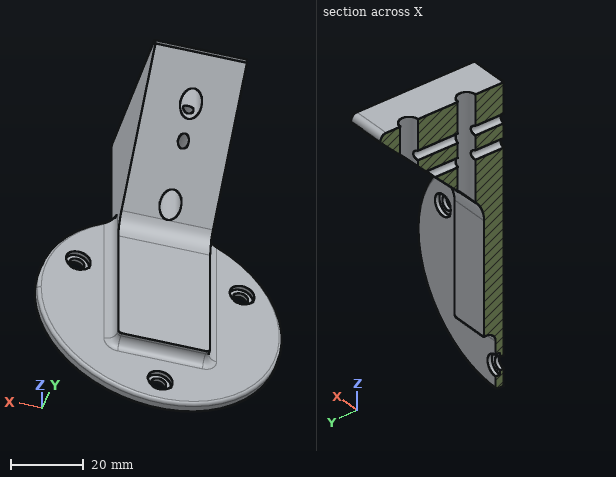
import cadquery as cq
import math

plate_radius = 35.0
plate_thickness = 3.0
plate_edge_round = 1.0
blank_radius = 45.0
tolerance = 0.001
rim_check_positions = (0, 0.3, 0.6, 1)
plate_hole_diameter = 4.3
plate_hole_circle_radius = 27.0
plate_hole_count = 3
counterbore_diameter = 7.0
counterbore_depth = 1.5
first_plate_hole_angle = 30.0

arm_width = 26.2
arm_depth = 43.0
arm_top = 65.0
rib_depth = 7.0
rib_bottom = -16.0
slope_start = 26.4
slope_angle = math.radians(45)
slope_round = 10.0
tip_round = 2.0
rib_corner_round = 1.0
root_fillet = 3.0

mount_hole_diameter = 6.0
mount_hole_offsets = (13.0, 33.0)
pin_hole_diameter = 3.0
pin_hole_drops = (12.0, 20.0)


def through_y(diameter, x, z):
    """Round cutter running the whole depth along +Y."""
    return cq.Workplane("XZ").center(x, z).circle(diameter / 2).extrude(-arm_depth)


def make_arm():
    slope_end = slope_start + arm_depth - rib_depth
    slope_tangent = slope_round * math.tan(slope_angle / 2)
    round_start = slope_start - slope_tangent
    round_end = slope_tangent * math.sin(slope_angle)
    half_sweep = slope_angle / 2
    round_mid = (
        rib_depth + slope_round * (1 - math.cos(half_sweep)),
        round_start + slope_round * math.sin(half_sweep),
    )
    profile = (
        cq.Workplane("YZ", origin=(-arm_width / 2, 0, 0))
        .moveTo(0, rib_bottom)
        .lineTo(rib_depth, rib_bottom)
        .lineTo(rib_depth, round_start)
        .threePointArc(round_mid, (rib_depth + round_end, slope_start + round_end))
        .lineTo(arm_depth, slope_end)
        .lineTo(arm_depth, arm_top - tip_round)
        .radiusArc((arm_depth - tip_round, arm_top), -tip_round)
        .lineTo(0, arm_top)
        .close()
    )
    arm = profile.extrude(arm_width)
    return arm.faces("<Z").edges("|Y").fillet(rib_corner_round)


def make_filleted_plate(arm):
    """Join plate and arm foot with a root fillet that ends at the plate's outline.

    The arm beyond the outline is left off here and added after the rim is rounded.
    The fillet is made on an oversized plate, which is then trimmed to the outline.
    """
    blank = cq.Workplane("XZ").circle(blank_radius).extrude(-plate_thickness)
    joined = blank.union(arm)
    root_edges = joined.edges().filter(
        lambda edge: edge.BoundingBox().xlen < arm_width + tolerance
        and abs(edge.BoundingBox().ymin - plate_thickness) < tolerance
        and edge.BoundingBox().ylen < tolerance
    )
    filleted = root_edges.fillet(root_fillet)
    return filleted.intersect(through_y(2 * plate_radius, 0, 0))


def round_rim(body):
    """Round the plate's outer edge, following it up the root fillets to the arm."""
    rim_edges = body.faces("%CYLINDER").edges().filter(
        lambda edge: edge.Center().y > plate_thickness / 2
        and all(
            abs(math.hypot(point.x, point.z) - plate_radius) < tolerance
            for point in edge.positions(rim_check_positions)
        )
    )
    return rim_edges.fillet(plate_edge_round)


def cut_holes(body):
    for index in range(plate_hole_count):
        angle = math.radians(first_plate_hole_angle + index * 360 / plate_hole_count)
        x = plate_hole_circle_radius * math.cos(angle)
        z = plate_hole_circle_radius * math.sin(angle)
        body = body.cut(through_y(plate_hole_diameter, x, z))
        counterbore = through_y(counterbore_diameter, x, z)
        body = body.cut(counterbore.translate((0, plate_thickness - counterbore_depth, 0)))
    for drop in pin_hole_drops:
        body = body.cut(through_y(pin_hole_diameter, 0, arm_top - drop))
    for offset in mount_hole_offsets:
        cutter = (
            cq.Workplane("XY", origin=(0, offset, 0))
            .circle(mount_hole_diameter / 2)
            .extrude(arm_top)
        )
        body = body.cut(cutter)
    return body


arm = make_arm()
plate = round_rim(make_filleted_plate(arm))
result = cut_holes(plate.union(arm))